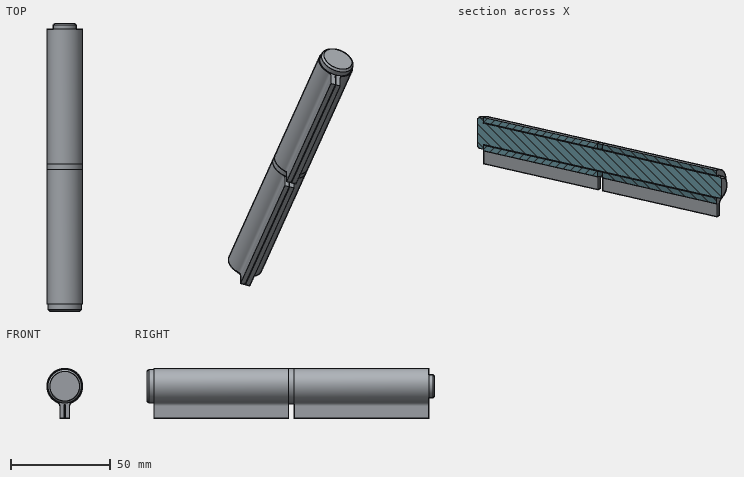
import cadquery as cq
import math


total_length = 145.0
leaf_length = 67.9
washer_thickness = 2.8
head_length = 3.6

barrel_diameter = 18.0
bore_diameter = 12.0
pin_diameter = 11.7
head_diameter = 17.0

tab_width = 5.0
tab_bottom_depth = 16.2
tab_fillet = 2.0
seam_width = 0.3
seam_height = 7.0

head_chamfer = 1.0
tip_chamfer = 0.9

barrel_radius = barrel_diameter / 2
washer_start = leaf_length
rear_leaf_start = washer_start + washer_thickness
pin_tip = total_length - head_length


def cylinder(diameter, start, length):
    """Solid cylinder on the Y axis, from start towards +Y."""
    plane = cq.Workplane("XZ", origin=(0, start, 0))
    return plane.circle(diameter / 2).extrude(-length)


def tab_profile():
    """Tab outline below the pin axis, flaring into the barrel through tangent arcs."""
    half_width = tab_width / 2
    arc_x = half_width + tab_fillet
    arc_reach = barrel_radius + tab_fillet
    arc_z = -math.sqrt(arc_reach**2 - arc_x**2)

    barrel_x = arc_x * barrel_radius / arc_reach
    barrel_z = arc_z * barrel_radius / arc_reach

    to_barrel = math.atan2(-arc_z, -arc_x)
    middle_angle = (to_barrel + math.pi) / 2
    middle_x = arc_x + tab_fillet * math.cos(middle_angle)
    middle_z = arc_z + tab_fillet * math.sin(middle_angle)

    return (
        cq.Workplane("XZ")
        .moveTo(0, 0)
        .lineTo(barrel_x, barrel_z)
        .threePointArc((middle_x, middle_z), (half_width, arc_z))
        .lineTo(half_width, -tab_bottom_depth)
        .lineTo(-half_width, -tab_bottom_depth)
        .lineTo(-half_width, arc_z)
        .threePointArc((-middle_x, middle_z), (-barrel_x, barrel_z))
        .close()
    )


def make_leaf(start):
    """Leaf: bored barrel and a tab split by a seam that ends just below the barrel."""
    barrel = cylinder(barrel_diameter, 0, leaf_length)
    tab = tab_profile().extrude(-leaf_length)
    bore = cylinder(bore_diameter, 0, leaf_length)
    seam = cq.Workplane("XY", origin=(0, 0, -tab_bottom_depth)).box(
        seam_width, leaf_length, seam_height, centered=(True, False, False)
    )
    leaf = barrel.union(tab).cut(bore).cut(seam)
    return leaf.translate((0, start, 0))


def make_washer():
    """Plain ring between the two leaves."""
    ring = cylinder(barrel_diameter, washer_start, washer_thickness)
    return ring.cut(cylinder(bore_diameter, washer_start, washer_thickness))


def make_pin():
    """Pin with a chamfered head in front of the front leaf and a chamfered tip behind the rear one."""
    head = cylinder(head_diameter, -head_length, head_length).faces("<Y").chamfer(head_chamfer)
    shank = cylinder(pin_diameter, 0, pin_tip).faces(">Y").chamfer(tip_chamfer)
    return head.union(shank)


leaves = [make_leaf(start) for start in (0, rear_leaf_start)]
washer = make_washer()
pin = make_pin()

result = cq.Compound.makeCompound([*(leaf.val() for leaf in leaves), washer.val(), pin.val()])